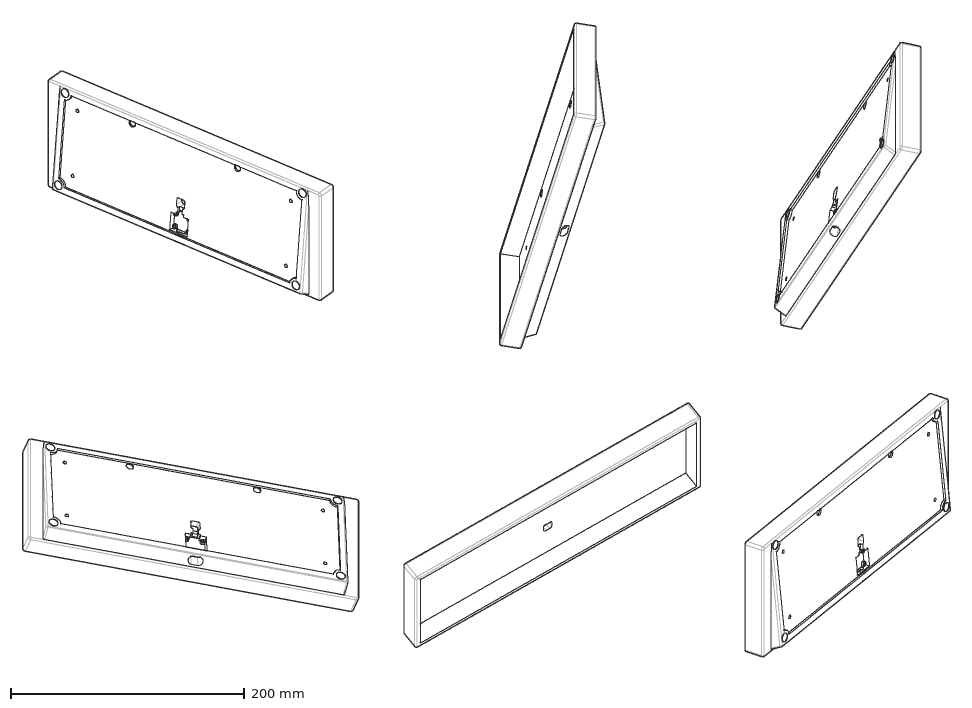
import cadquery as cq
import math


LENGTH = 295.7
TOTAL_DEPTH = 29.68
HEIGHT = 110.2

BLOCK_DEPTH = 19.15
CORNER_RADIUS = 2.4
FRONT_RADIUS = 1.5
BACK_RADIUS = 1.5

CAVITY_WALL = 5.0
CAVITY_DEPTH = 16.5

WEDGE_LENGTH = 270.2
WEDGE_TILT = 6.0
BEVEL_ANGLE = 30.3
WEDGE_SIDE_RADIUS = 1.6
NOSE_RADIUS = 0.8
WEDGE_TOP = HEIGHT / 2 - FRONT_RADIUS
WEDGE_OVERLAP = 3.0

PANEL_LENGTH = 257.0
PANEL_HEIGHT = 90.0
PANEL_MID_Z = 4.0
PANEL_DEPTH = 2.0
PANEL_SCOOP_RADIUS = 6.5
PAD_DIAMETER = 8.0
PAD_DEPTH = 0.5

SCREW_DIAMETER = 2.93
SCREW_SPACING_X = 231.0
SCREW_SPACING_UP = 63.5
SCREW_DEPTH = 5.0

OPENING_DIAMETER = 6.5
OPENING_SPACING = 113.8
OPENING_Z = 45.3

CABLE_HOLE_WIDTH = 8.4
CABLE_HOLE_TOP = -6.5
CABLE_HOLE_BOTTOM = -15.8
CABLE_HOLE_TOP_RADIUS = 1.5
CABLE_HOLE_BOTTOM_RADIUS = 2.5

POCKET_WIDTH = 18.8
POCKET_TOP = -26.7
POCKET_BOTTOM = -43.7
POCKET_DEPTH = 5.5
TAB_WIDTH = 8.4
TAB_TOP = -24.7
NECK_WIDTH = 4.8
NECK_DEPTH = 2.5
NECK_RAMP = 1.8
POST_SIZE = 4.2
POST_RADIUS = 1.8
POST_HEIGHT = 2.0
POST_HOLE_DIAMETER = 2.0
POST_HOLE_DEPTH = 3.5
POST_HOLE_INSET = 2.4

PORT_WIDTH = 9.0
PORT_THICKNESS = 3.3
PORT_BELOW_PANEL = 3.8
PLUG_WIDTH = 13.0
PLUG_THICKNESS = 7.0
PORT_WALL = 2.0

TILT = math.radians(WEDGE_TILT)
BEVEL = math.radians(BEVEL_ANGLE)


def slope_y(z):
    """Y of the wedge's sloping face at height z."""
    return -BLOCK_DEPTH - (WEDGE_TOP - z) * math.tan(TILT)


def wedge_plane(depth):
    """Plane parallel to the sloping face, sunk by depth; its normal points outward."""
    surface = cq.Plane(
        origin=(0, slope_y(PANEL_MID_Z), PANEL_MID_Z),
        xDir=(1, 0, 0),
        normal=(0, -math.cos(TILT), math.sin(TILT)),
    )
    return cq.Workplane(surface).workplane(offset=-depth)


def make_block():
    """Outer block with every edge rounded."""
    block = cq.Workplane("XY").box(LENGTH, BLOCK_DEPTH, HEIGHT)
    block = block.translate((0, -BLOCK_DEPTH / 2, 0))
    block = block.edges("|Y").fillet(CORNER_RADIUS)
    block = block.faces("<Y").edges().fillet(FRONT_RADIUS)
    return block.faces(">Y").edges().fillet(BACK_RADIUS)


def cut_cavity(part):
    cavity = (
        cq.Workplane("XZ")
        .rect(LENGTH - 2 * CAVITY_WALL, HEIGHT - 2 * CAVITY_WALL)
        .extrude(CAVITY_DEPTH)
    )
    return part.cut(cavity)


def nose_point():
    """Sharp nose whose rounding just reaches the total depth."""
    half_turn = (math.pi / 2 - BEVEL + TILT) / 2
    bisector = (math.pi / 2 - BEVEL - TILT) / 2
    center_y = -TOTAL_DEPTH + NOSE_RADIUS
    center_z = WEDGE_TOP - (-BLOCK_DEPTH - center_y + NOSE_RADIUS / math.cos(TILT)) / math.tan(TILT)
    reach = NOSE_RADIUS / math.cos(half_turn)
    return center_y - reach * math.cos(bisector), center_z - reach * math.sin(bisector)


def make_wedge():
    """Wedge with a rounded nose and sides, rooted inside the block's front wall."""
    nose_y, nose_z = nose_point()
    inner_y = -BLOCK_DEPTH + WEDGE_OVERLAP
    run = inner_y - nose_y
    wedge = (
        cq.Workplane("YZ")
        .polyline(
            [
                (nose_y, nose_z),
                (inner_y, nose_z + run / math.tan(TILT)),
                (inner_y, nose_z - run * math.tan(BEVEL)),
            ]
        )
        .close()
        .extrude(WEDGE_LENGTH / 2, both=True)
    )
    wedge = wedge.edges("<Y").fillet(NOSE_RADIUS)
    wedge = wedge.faces("<X or >X").edges("not(>Y)").fillet(WEDGE_SIDE_RADIUS)
    limits = cq.Workplane("XY").box(LENGTH, 2 * TOTAL_DEPTH, 2 * WEDGE_TOP)
    return wedge.intersect(limits)


def rectangle(plane, width, bottom, top):
    """Rectangle centred on X between two heights of the plane."""
    return plane.center(0, (bottom + top) / 2).rect(width, top - bottom)


def cut_panel(part):
    corners = wedge_plane(PANEL_DEPTH).rect(PANEL_LENGTH, PANEL_HEIGHT, forConstruction=True)
    scoops = corners.vertices().circle(PANEL_SCOOP_RADIUS).extrude(PANEL_DEPTH)
    recess = wedge_plane(PANEL_DEPTH).rect(PANEL_LENGTH, PANEL_HEIGHT).extrude(2 * PANEL_DEPTH)
    recess = recess.cut(scoops)
    pads = (
        wedge_plane(PAD_DEPTH)
        .rect(PANEL_LENGTH, PANEL_HEIGHT, forConstruction=True)
        .vertices()
        .circle(PAD_DIAMETER / 2)
        .extrude(2 * PAD_DEPTH)
    )
    return part.cut(recess).cut(pads)


def cut_screw_holes(part):
    holes = (
        wedge_plane(PANEL_DEPTH)
        .rect(SCREW_SPACING_X, SCREW_SPACING_UP, forConstruction=True)
        .vertices()
        .circle(SCREW_DIAMETER / 2)
        .extrude(-SCREW_DEPTH)
    )
    return part.cut(holes)


def cut_openings(part):
    openings = (
        cq.Workplane("XZ")
        .pushPoints([(-OPENING_SPACING / 2, OPENING_Z), (OPENING_SPACING / 2, OPENING_Z)])
        .circle(OPENING_DIAMETER / 2)
        .extrude(TOTAL_DEPTH)
    )
    return part.cut(openings)


def cut_cable_hole(part):
    hole = rectangle(cq.Workplane("XZ"), CABLE_HOLE_WIDTH, CABLE_HOLE_BOTTOM, CABLE_HOLE_TOP)
    hole = hole.extrude(TOTAL_DEPTH)
    hole = hole.edges("|Y and >Z").fillet(CABLE_HOLE_TOP_RADIUS)
    hole = hole.edges("|Y and <Z").fillet(CABLE_HOLE_BOTTOM_RADIUS)
    return part.cut(hole)


def cut_pocket(part):
    floor = PANEL_DEPTH + POCKET_DEPTH
    pocket = rectangle(wedge_plane(floor), POCKET_WIDTH, POCKET_BOTTOM, POCKET_TOP).extrude(floor)
    tab = rectangle(wedge_plane(floor), TAB_WIDTH, POCKET_TOP, TAB_TOP).extrude(floor)
    neck_floor = PANEL_DEPTH + NECK_DEPTH
    neck_top = (CABLE_HOLE_BOTTOM - PANEL_MID_Z + CABLE_HOLE_BOTTOM_RADIUS) / math.cos(TILT)
    neck = (
        cq.Workplane(
            cq.Plane(
                origin=wedge_plane(0).plane.origin,
                xDir=wedge_plane(0).plane.yDir,
                normal=(1, 0, 0),
            )
        )
        .polyline(
            [
                (TAB_TOP, 0),
                (TAB_TOP, -neck_floor - NECK_RAMP),
                (TAB_TOP + NECK_RAMP, -neck_floor),
                (neck_top - NECK_RAMP, -neck_floor),
                (neck_top, -neck_floor - NECK_RAMP),
                (neck_top, 0),
            ]
        )
        .close()
        .extrude(NECK_WIDTH / 2, both=True)
    )

    mid_up = (POCKET_TOP + POCKET_BOTTOM) / 2
    post_spacing_x = POCKET_WIDTH - POST_SIZE
    post_spacing_up = POCKET_TOP - POCKET_BOTTOM - POST_SIZE
    posts = (
        wedge_plane(floor)
        .center(0, mid_up)
        .rect(post_spacing_x, post_spacing_up, forConstruction=True)
        .vertices()
        .rect(POST_SIZE, POST_SIZE)
        .extrude(POST_HEIGHT)
        .edges(cq.selectors.ParallelDirSelector(wedge_plane(0).plane.zDir))
        .fillet(POST_RADIUS)
    )
    hole_spacing_x = POCKET_WIDTH - 2 * POST_HOLE_INSET
    hole_spacing_up = POCKET_TOP - POCKET_BOTTOM - 2 * POST_HOLE_INSET
    post_holes = (
        wedge_plane(floor - POST_HEIGHT)
        .center(0, mid_up)
        .rect(hole_spacing_x, hole_spacing_up, forConstruction=True)
        .vertices()
        .circle(POST_HOLE_DIAMETER / 2)
        .extrude(-POST_HOLE_DEPTH)
    )
    return part.cut(pocket.union(tab).union(neck).cut(posts)).cut(post_holes)


def cut_port(part):
    along = cq.Workplane(
        cq.Plane(
            origin=wedge_plane(PANEL_DEPTH + PORT_BELOW_PANEL).plane.toWorldCoords((0, POCKET_BOTTOM, 0)),
            xDir=(1, 0, 0),
            normal=(0, -math.sin(TILT), -math.cos(TILT)),
        )
    )
    port = along.slot2D(PORT_WIDTH, PORT_THICKNESS).extrude(2 * PORT_WALL)
    plug = along.workplane(offset=PORT_WALL).slot2D(PLUG_WIDTH, PLUG_THICKNESS).extrude(TOTAL_DEPTH)
    return part.cut(port).cut(plug)


result = make_block().union(make_wedge())
result = cut_cavity(result)
result = cut_panel(result)
result = cut_screw_holes(result)
result = cut_openings(result)
result = cut_cable_hole(result)
result = cut_pocket(result)
result = cut_port(result)